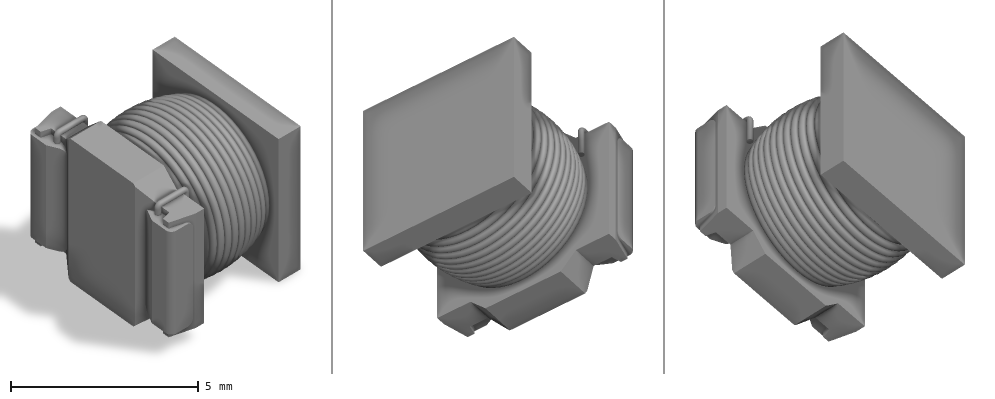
import cadquery as cq
import math


overall_width = 5.7
overall_depth = 5.0
overall_height = 5.0
half_width = overall_width / 2
half_height = overall_height / 2
plate_side = overall_height

back_plate_thickness = 0.8
base_depth = 1.1
terminal_protrusion = 0.1
plate_back_y = overall_depth / 2
plate_front_y = plate_back_y - back_plate_thickness
terminal_front_y = -overall_depth / 2
base_front_y = terminal_front_y + terminal_protrusion
base_back_y = base_front_y + base_depth

block_front_half_width = 1.32
block_top_half_width = 1.25
block_root_half_width = 1.75
ear_half_height = 2.0
slope_depth = 0.3
ear_face_y = base_front_y + slope_depth
ear_side_depth = 0.3
ear_side_break_y = base_back_y - ear_side_depth
foot_outer_x = 2.65
foot_inner_x = 2.43
foot_root_x = 2.35

turn_count = 13
turn_angle = math.radians(4.0)

terminal_half_height = 1.795
terminal_side_depth = 0.8
terminal_back_y = terminal_front_y + terminal_side_depth
terminal_bend_x = 2.1
terminal_tip_x = 1.555
terminal_fillet = 0.2

wire_radius = 0.09
wire_clearance = 0.005
wire_bend_radius = wire_radius + wire_clearance
wire_x = 2.0
wire_back_end_z = 1.2


def point_on_line(start, end, fraction):
    """Point at the given fraction of the way from start to end."""
    return (
        start[0] + fraction * (end[0] - start[0]),
        start[1] + fraction * (end[1] - start[1]),
    )


def mirrored_outline(plane, right_half):
    """Closed outline made of a right half and its mirror image about X = 0."""
    left_half = [(-x, v) for x, v in reversed(right_half)]
    return cq.Workplane(plane).polyline(right_half + left_half).close()


block_front_corner = (block_front_half_width, base_front_y)
block_root_corner = (block_root_half_width, ear_face_y)
foot_root_corner = (foot_root_x, ear_face_y)
foot_inner_corner = (foot_inner_x, base_front_y)
foot_outer_corner = (foot_outer_x, base_front_y)
ear_side_corner = (half_width, ear_side_break_y)


def make_back_plate():
    """Square plate behind the winding."""
    plate = cq.Workplane("XY").box(plate_side, back_plate_thickness, plate_side)
    return plate.translate((0, (plate_back_y + plate_front_y) / 2, 0))


def make_base():
    """Front base: its XY profile trimmed by its XZ outline."""
    profile = mirrored_outline("XY", [
        block_front_corner,
        block_root_corner,
        foot_root_corner,
        foot_inner_corner,
        foot_outer_corner,
        ear_side_corner,
        (half_width, base_back_y),
    ]).extrude(half_height, both=True)
    outline = mirrored_outline("XZ", [
        (block_top_half_width, -half_height),
        (block_root_half_width, -ear_half_height),
        (half_width, -ear_half_height),
        (half_width, ear_half_height),
        (block_root_half_width, ear_half_height),
        (block_top_half_width, half_height),
    ]).extrude(overall_depth, both=True)
    return profile.intersect(outline)


def make_winding():
    """Revolved stack of touching round turns whose centres follow a bulged arc."""
    winding_half_length = (plate_front_y - base_back_y) / 2
    winding_centre_y = (plate_front_y + base_back_y) / 2
    end_angle = turn_angle * (turn_count - 1) / 2
    bulge_radius = winding_half_length / (math.sin(end_angle) + math.sin(turn_angle / 2))
    turn_radius = bulge_radius * math.sin(turn_angle / 2)
    bulge_centre_x = plate_side / 2 - turn_radius - bulge_radius

    def bulge_point(angle, radius):
        return (
            bulge_centre_x + radius * math.cos(angle),
            winding_centre_y + radius * math.sin(angle),
        )

    contact_radius = bulge_radius * math.cos(turn_angle / 2)
    crest_radius = bulge_radius + turn_radius
    end_turn_x = bulge_point(end_angle, bulge_radius)[0]

    profile = cq.Workplane("XY").moveTo(0, base_back_y).lineTo(end_turn_x, base_back_y)
    for turn in range(turn_count):
        angle = turn * turn_angle - end_angle
        crest = bulge_point(angle, crest_radius)
        if turn < turn_count - 1:
            turn_end = bulge_point(angle + turn_angle / 2, contact_radius)
        else:
            turn_end = (end_turn_x, plate_front_y)
        profile = profile.threePointArc(crest, turn_end)
    profile = profile.lineTo(0, plate_front_y).close()
    return profile.revolve(360, (0, 0, 0), (0, 1, 0))


def make_terminal():
    """Right terminal: wraps the foot of the ear, with rounded end corners."""
    tip_fraction = (block_root_half_width - terminal_tip_x) / (
        block_root_half_width - block_front_half_width
    )
    tip = point_on_line(block_root_corner, block_front_corner, tip_fraction)
    side_fraction = (terminal_back_y - base_front_y) / (ear_side_break_y - base_front_y)
    inner_back = point_on_line(foot_outer_corner, ear_side_corner, side_fraction)

    terminal = cq.Workplane("XY").polyline([
        tip,
        (terminal_bend_x, terminal_front_y),
        (half_width, terminal_front_y),
        (half_width, terminal_back_y),
        inner_back,
        foot_outer_corner,
        foot_inner_corner,
        foot_root_corner,
        block_root_corner,
    ]).close().extrude(terminal_half_height, both=True)

    front_outer_edge = cq.selectors.NearestToPointSelector((half_width, terminal_front_y, 0))
    terminal = terminal.edges("|Z").edges(front_outer_edge).fillet(terminal_fillet)

    tip_middle = point_on_line(tip, block_root_corner, 0.5)
    back_middle = point_on_line(inner_back, (half_width, terminal_back_y), 0.5)
    for x, y in (tip_middle, back_middle):
        for z in (-terminal_half_height, terminal_half_height):
            end_edge = cq.selectors.NearestToPointSelector((x, y, z))
            terminal = terminal.edges(end_edge).fillet(terminal_fillet)
    return terminal


def make_wire_lead():
    """Right lead: runs over the ear, down behind it and down onto the terminal."""
    top_z = ear_half_height + wire_bend_radius
    back_y = base_back_y + wire_bend_radius
    front_y = ear_face_y - wire_bend_radius
    path = (
        cq.Workplane("YZ", origin=(wire_x, 0, 0))
        .moveTo(back_y, wire_back_end_z)
        .lineTo(back_y, ear_half_height)
        .radiusArc((base_back_y, top_z), -wire_bend_radius)
        .lineTo(ear_face_y, top_z)
        .radiusArc((front_y, ear_half_height), -wire_bend_radius)
        .lineTo(front_y, terminal_half_height)
    )
    section = cq.Workplane("XY", origin=(wire_x, back_y, wire_back_end_z)).circle(wire_radius)
    return section.sweep(path)


back_plate = make_back_plate()
base = make_base()
winding = make_winding()

terminals = []
wire_leads = []
for right_body, bodies in ((make_terminal(), terminals), (make_wire_lead(), wire_leads)):
    bodies.append(right_body)
    bodies.append(right_body.mirror("YZ"))

result = cq.Compound.makeCompound([
    back_plate.val(),
    base.val(),
    winding.val(),
    *[terminal.val() for terminal in terminals],
    *[wire_lead.val() for wire_lead in wire_leads],
])